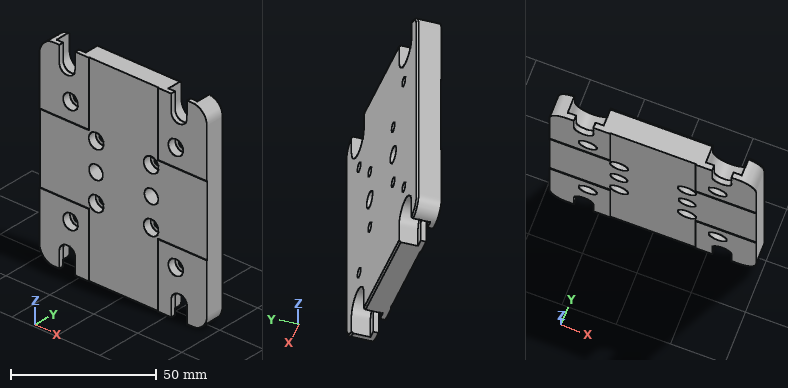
import cadquery as cq

width = 76.2
height = 89.3
thickness = 8.9
corner_radius = 6.5
back_chamfer = 0.6

cross_width = 31.4
cross_depth = 0.3

slot_offset = 25.45
slot_width = 7.1
slot_length = 7.1
slot_clearance_width = 13.2
slot_floor_thickness = 2.05

screw_diameter = 3.5
counterbore_diameter = 6.7
counterbore_depth = 3.6
inner_screw_offset = 12.5
outer_screw_offset = 23.9

through_diameter = 6.25
through_offset = 12.6

front_y = -thickness / 2
back_y = thickness / 2
recess_y = front_y + cross_depth
quadrants = [(sx, sz) for sx in (-1, 1) for sz in (-1, 1)]


def box_between(size_x, size_z, start_y, end_y):
    """Box centred on the Y axis, between two Y levels."""
    depth = end_y - start_y
    return cq.Workplane("XY").box(size_x, depth, size_z).translate((0, (start_y + end_y) / 2, 0))


def cylinder(x, z, diameter, start_y, end_y):
    """Cylinder parallel to Y, between two Y levels."""
    base = cq.Vector(x, start_y, z)
    solid = cq.Solid.makeCylinder(diameter / 2, end_y - start_y, base, cq.Vector(0, 1, 0))
    return cq.Workplane(obj=solid)


def open_slot(x, z_side, slot_size, start_y, end_y):
    """Round-ended slot running out through the top (+1) or bottom (-1) edge."""
    end_z = z_side * (height / 2 - slot_length)
    channel = box_between(slot_size, slot_length, start_y, end_y)
    channel = channel.translate((x, 0, z_side * (height - slot_length) / 2))
    return channel.union(cylinder(x, end_z, slot_size, start_y, end_y))


def make_plate():
    plate = cq.Workplane("XY").box(width, thickness, height)
    plate = plate.edges("|Y").fillet(corner_radius)
    return plate.faces(">Y").edges().chamfer(back_chamfer)


def cut_cross(body):
    body = body.cut(box_between(cross_width, height, front_y, recess_y))
    return body.cut(box_between(width, cross_width, front_y, recess_y))


def cut_slots(body):
    slot_floor_y = front_y + slot_floor_thickness
    for side_x, side_z in quadrants:
        x = side_x * slot_offset
        body = body.cut(open_slot(x, side_z, slot_width, front_y, back_y))
        body = body.cut(open_slot(x, side_z, slot_clearance_width, slot_floor_y, back_y))
    return body


def cut_screw_holes(body, offset, surface_y):
    """Four screw holes on a square, counterbored to a fixed depth below the local surface."""
    floor_y = surface_y + counterbore_depth
    for side_x, side_z in quadrants:
        x = side_x * offset
        z = side_z * offset
        body = body.cut(cylinder(x, z, screw_diameter, front_y, back_y))
        body = body.cut(cylinder(x, z, counterbore_diameter, front_y, floor_y))
    return body


def cut_through_holes(body):
    for side_x in (-1, 1):
        body = body.cut(cylinder(side_x * through_offset, 0, through_diameter, front_y, back_y))
    return body


result = make_plate()
result = cut_cross(result)
result = cut_slots(result)
result = cut_screw_holes(result, inner_screw_offset, recess_y)
result = cut_screw_holes(result, outer_screw_offset, front_y)
result = cut_through_holes(result)